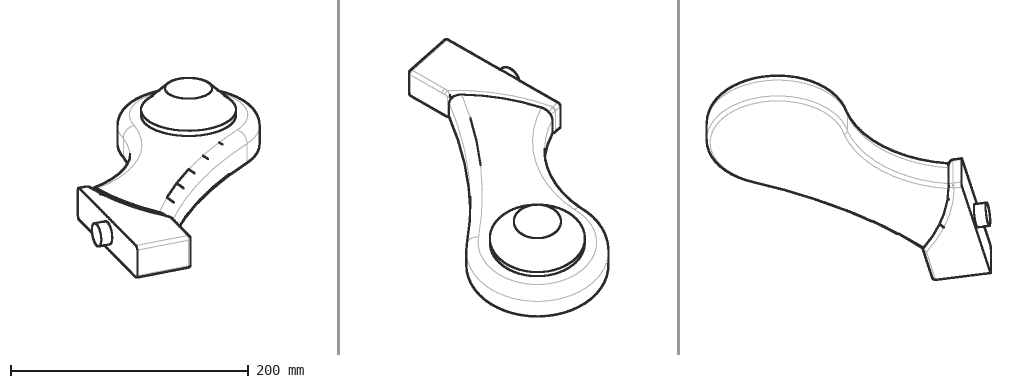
import cadquery as cq
import math

thickness = 30.0
hub_radius = 60.0

knob_radius = 40.0
knob_top_radius = 20.0
knob_rim_height = 5.0
knob_cone_height = 20.2

block_length = 125.0
block_right = 212.5
block_left = block_right - block_length
block_back = -90.0
block_front = -140.0
pin_diameter = 20.0
pin_length = 10.0
pin_x = (block_left + block_right) / 2

arm_top_fillet = 10.0
small_fillet = 3.0
seam_fillet = 5.0

lower_radius = 100.0
lower_end_y = -129.0

upper_radius = 400.5
upper_angle = math.radians(31.7)
upper_center_x = (hub_radius + upper_radius) * math.cos(upper_angle)
upper_center_y = (hub_radius + upper_radius) * math.sin(upper_angle)

seam_radius = 174.5


def upper_point(y):
    """Point on the upper side of the arm at the given y."""
    return (upper_center_x - math.sqrt(upper_radius**2 - (y - upper_center_y) ** 2), y)


hub_bottom = (0, -hub_radius)
hub_left = (-hub_radius, 0)
hub_tangent = (hub_radius * math.cos(upper_angle), hub_radius * math.sin(upper_angle))
seam_low = (block_left, lower_end_y)
seam_high = upper_point(block_back)
upper_middle = upper_point((hub_tangent[1] + block_back) / 2)


def arc_middle(start, end, radius):
    """Middle of an arc that bulges to the right of the direction from start to end."""
    chord_x = end[0] - start[0]
    chord_y = end[1] - start[1]
    chord = math.hypot(chord_x, chord_y)
    sagitta = radius - math.sqrt(radius**2 - (chord / 2) ** 2)
    return (
        (start[0] + end[0]) / 2 + sagitta * chord_y / chord,
        (start[1] + end[1]) / 2 - sagitta * chord_x / chord,
    )


seam_middle = arc_middle(seam_low, seam_high, seam_radius)
lower_middle = arc_middle(seam_low, hub_bottom, lower_radius)


def make_knob():
    return (
        cq.Workplane("XZ", origin=(0, 0, thickness))
        .polyline([
            (0, 0),
            (knob_radius, 0),
            (knob_radius, knob_rim_height),
            (knob_top_radius, knob_rim_height + knob_cone_height),
            (0, knob_rim_height + knob_cone_height),
        ])
        .close()
        .revolve(360, (0, 0), (0, 1))
    )


def make_arm():
    """Hub and curved arm with rounded outer edges; the seam edges stay sharp."""
    plate = (
        cq.Workplane("XY")
        .moveTo(*hub_tangent)
        .threePointArc(hub_left, hub_bottom)
        .threePointArc(lower_middle, seam_low)
        .threePointArc(seam_middle, seam_high)
        .threePointArc(upper_middle, hub_tangent)
        .close()
        .extrude(thickness)
    )
    seam_edge = cq.selectors.NearestToPointSelector((*seam_middle, thickness))
    plate = plate.faces(">Z").edges(cq.StringSyntaxSelector("%CIRCLE") - seam_edge).fillet(arm_top_fillet)
    seam_edge = cq.selectors.NearestToPointSelector((*seam_middle, 0))
    plate = plate.faces("<Z").edges(cq.StringSyntaxSelector("%CIRCLE") - seam_edge).fillet(small_fillet)
    return plate.union(make_knob())


def make_block():
    """End block with every edge rounded except those of its front face, plus its pin."""
    block = (
        cq.Workplane("XY")
        .moveTo(block_left, block_front)
        .lineTo(block_right, block_front)
        .lineTo(block_right, block_back)
        .lineTo(*seam_high)
        .threePointArc(seam_middle, seam_low)
        .close()
        .extrude(thickness)
    )
    seam_face = cq.selectors.NearestToPointSelector((*seam_middle, thickness / 2))
    block = block.faces(seam_face).edges().fillet(seam_fillet)
    outer_edges = "(>X or (>Y and |X) or (<X and |Y)) and (not <Y)"
    block = block.edges(outer_edges).fillet(small_fillet)
    pin = (
        cq.Workplane("XZ", origin=(pin_x, block_front, thickness / 2))
        .circle(pin_diameter / 2)
        .extrude(pin_length)
    )
    return block.union(pin)


arm = make_arm()
end_block = make_block()
result = cq.Compound.makeCompound([arm.val(), end_block.val()])